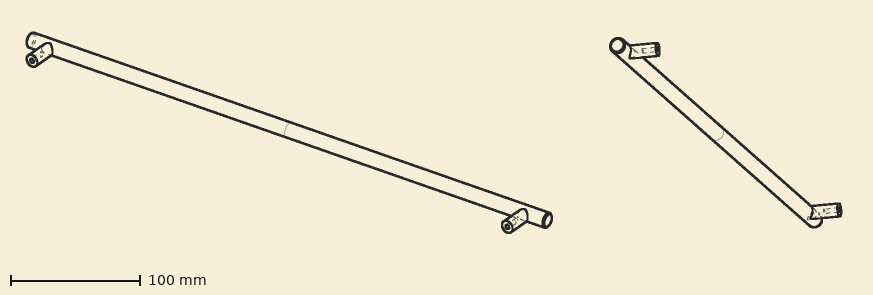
import cadquery as cq

bar_length = 488.0
bar_diameter = 12.0
bar_end_chamfer = 1.0
overall_depth = 32.0
post_diameter = 10.2
post_spacing = 448.0
screw_hole_diameter = 3.5
screw_hole_depth = 12.0

bar_radius = bar_diameter / 2
mounting_face_y = bar_radius - overall_depth


def make_bar():
    """Round bar with chamfered ends, centred on the origin, with its axis along X."""
    rod = cq.Workplane("YZ").circle(bar_radius).extrude(bar_length / 2, both=True)
    return rod.faces("<X or >X").chamfer(bar_end_chamfer)


def cylinder_from_mounting_face(x, diameter, length):
    """Cylinder starting at the mounting face and running toward the bar."""
    return cq.Workplane(
        cq.Solid.makeCylinder(
            diameter / 2, length, cq.Vector(x, mounting_face_y, 0), cq.Vector(0, 1, 0)
        )
    )


def make_post(x, bar):
    """Post with a blind screw hole and an end shaped to fit against the bar."""
    blank = cylinder_from_mounting_face(x, post_diameter, -mounting_face_y)
    screw_hole = cylinder_from_mounting_face(x, screw_hole_diameter, screw_hole_depth)
    return blank.cut(bar).cut(screw_hole)


bar = make_bar()
posts = [make_post(side * post_spacing / 2, bar) for side in (-1, 1)]

result = cq.Compound.makeCompound([bar.val(), *[post.val() for post in posts]])